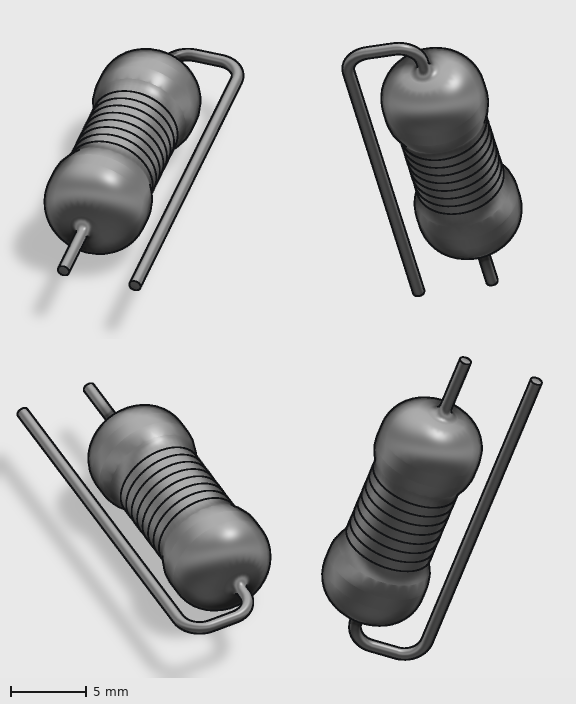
import cadquery as cq
import math

overall_length = 24.1
body_diameter = 7.0
wire_diameter = 0.8
lead_pitch = 5.0
bend_radius = 1.6

body_centre = 12.85
body_length = 16.5
end_round = 2.5
collar_length = 1.01
flare_length = 2.02
neck_fillet = 0.7

waist_diameter = 5.95
band_diameter = 5.98
segment_count = 7

body_radius = body_diameter / 2
wire_radius = wire_diameter / 2
waist_radius = waist_diameter / 2
band_radius = band_diameter / 2

half_length = body_length / 2
collar_outer = half_length - end_round
collar_inner = collar_outer - collar_length
half_waist = collar_inner - flare_length

round_centre_x = body_radius - end_round
blend_centre_x = wire_radius + neck_fillet
blend_offset_x = blend_centre_x - round_centre_x
centre_distance = end_round + neck_fillet
blend_rise = math.sqrt(centre_distance**2 - blend_offset_x**2)
neck_end = collar_outer + blend_rise
tangent_x = round_centre_x + blend_offset_x * end_round / centre_distance
tangent_y = collar_outer + blend_rise * end_round / centre_distance


def arc_point(centre_x, centre_y, radius, angle):
    """Point on a circle at an angle in degrees."""
    turn = math.radians(angle)
    return (centre_x + radius * math.cos(turn), centre_y + radius * math.sin(turn))


def make_end_cap():
    """Flare, collar, rounded end and neck on the +Y side of the centre."""
    flare_middle = ((waist_radius + body_radius) / 2, half_waist + flare_length / 2)
    tangent_angle = math.degrees(math.atan2(blend_rise, blend_offset_x))
    round_middle = arc_point(round_centre_x, collar_outer, end_round, tangent_angle / 2)
    blend_angle = 180 + tangent_angle / 2
    blend_middle = arc_point(blend_centre_x, neck_end, neck_fillet, blend_angle)
    return (
        cq.Workplane("XY")
        .moveTo(0, neck_end)
        .lineTo(wire_radius, neck_end)
        .threePointArc(blend_middle, (tangent_x, tangent_y))
        .threePointArc(round_middle, (body_radius, collar_outer))
        .lineTo(body_radius, collar_inner)
        .tangentArcPoint(flare_middle, relative=False)
        .tangentArcPoint((waist_radius, half_waist), relative=False)
        .lineTo(0, half_waist)
        .close()
        .revolve(360, (0, 0), (0, 1))
    )


def make_body():
    """Two mirrored end caps joined by the waist, whose even segments are raised bands."""
    segment_width = 2 * half_waist / segment_count
    end_cap = make_end_cap()
    body = end_cap
    for index in range(segment_count):
        radius = band_radius if index % 2 == 0 else waist_radius
        end = half_waist - index * segment_width
        segment = cq.Workplane("XZ", origin=(0, end, 0)).circle(radius).extrude(segment_width)
        body = body.union(segment)
    body = body.union(end_cap.mirror("XZ"))
    return body.translate((0, body_centre, 0))


def make_wire():
    """Short lead, then the long lead bent over the far end and back."""
    bend_start = overall_length - wire_radius - bend_radius
    crest = bend_start + bend_radius
    path = (
        cq.Workplane("XY")
        .moveTo(0, body_centre)
        .lineTo(0, bend_start)
        .tangentArcPoint((bend_radius, crest), relative=False)
        .lineTo(lead_pitch - bend_radius, crest)
        .tangentArcPoint((lead_pitch, bend_start), relative=False)
        .lineTo(lead_pitch, 0)
    )
    long_lead = cq.Workplane("XZ", origin=(0, body_centre, 0)).circle(wire_radius).sweep(path)
    short_lead = cq.Workplane("XZ").circle(wire_radius).extrude(-body_centre)
    return short_lead.union(long_lead)


result = make_body().union(make_wire())